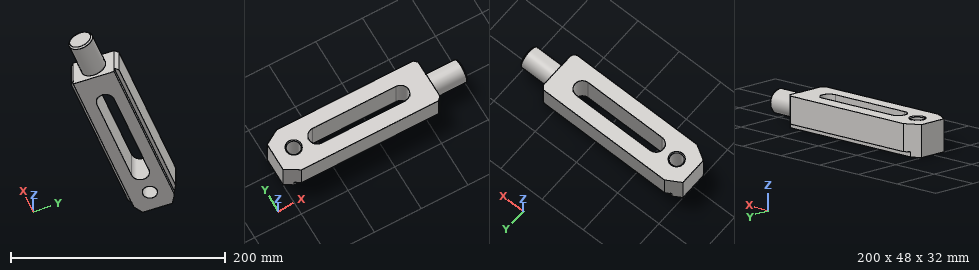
import cadquery as cq

total_length = 200.0
body_length = 165.0
body_width = 48.0
body_height = 32.0

nose_cut_length = 15.0
nose_cut_width = 9.0
rear_cut = 3.5

rebate_depth = rear_cut
rebate_height = 5.0

shank_diameter = 24.0
shank_chamfer = 1.5
shank_length = total_length - body_length

hole_x = 20.0
hole_diameter = 14.0
hole_chamfer = 1.0
slot_start = 36.5
slot_end = 143.0
slot_width = 17.2


def make_body():
    half_width = body_width / 2
    nose_half_width = half_width - nose_cut_width
    rear_half_width = half_width - rear_cut
    outline = [
        (0, -nose_half_width),
        (nose_cut_length, -half_width),
        (body_length - rear_cut, -half_width),
        (body_length, -rear_half_width),
        (body_length, rear_half_width),
        (body_length - rear_cut, half_width),
        (nose_cut_length, half_width),
        (0, nose_half_width),
    ]
    return cq.Workplane("XY").polyline(outline).close().extrude(body_height)


def make_rebate(side):
    center_y = side * (body_width - rebate_depth) / 2
    return (
        cq.Workplane("XY")
        .center(body_length / 2, center_y)
        .rect(body_length, rebate_depth)
        .extrude(rebate_height)
    )


def make_shank():
    return (
        cq.Workplane("YZ", origin=(body_length, 0, body_height / 2))
        .circle(shank_diameter / 2)
        .extrude(shank_length)
        .faces(">X")
        .chamfer(shank_chamfer)
    )


def make_hole():
    """Through hole with a chamfered mouth on the top face."""
    radius = hole_diameter / 2
    mouth_radius = radius + hole_chamfer
    profile = [
        (0, 0),
        (radius, 0),
        (radius, body_height - hole_chamfer),
        (mouth_radius, body_height),
        (0, body_height),
    ]
    return (
        cq.Workplane("XZ")
        .polyline(profile)
        .close()
        .revolve(360, (0, 0), (0, 1))
        .translate((hole_x, 0, 0))
    )


def make_slot():
    return (
        cq.Workplane("XY")
        .center((slot_start + slot_end) / 2, 0)
        .slot2D(slot_end - slot_start, slot_width)
        .extrude(body_height)
    )


result = make_body()
for side in (-1, 1):
    result = result.cut(make_rebate(side))
result = result.union(make_shank()).cut(make_hole()).cut(make_slot())